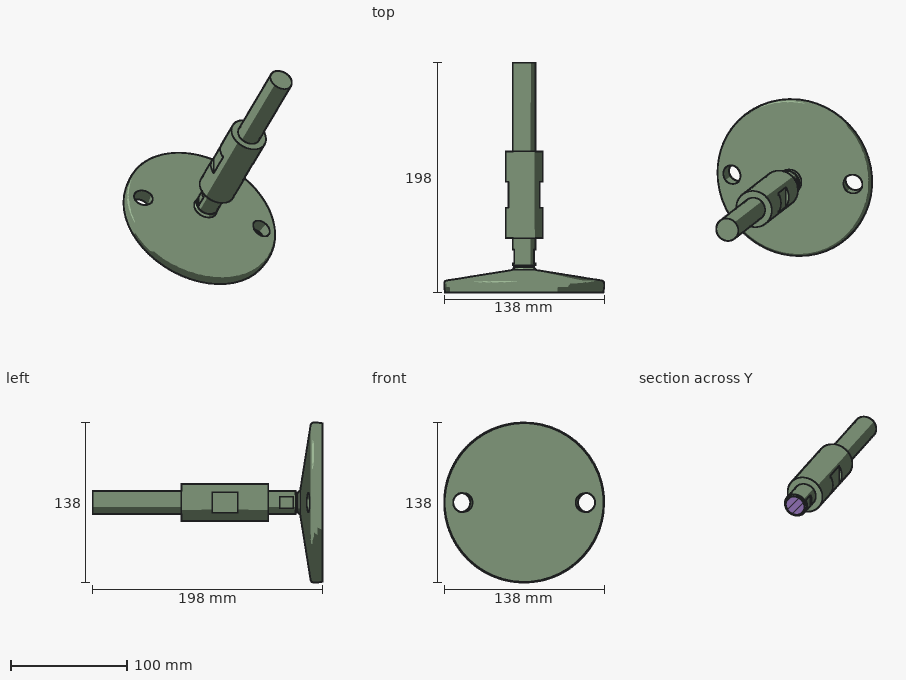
import cadquery as cq
import math


total_length = 198.0
foot_diameter = 138.0

foot_radius = foot_diameter / 2
floor_radius = 68.3
rim_taper_height = 4.5
rim_height = 10.0
rim_fillet = 3.0
cone_top_radius = 10.5
cone_top_y = 19.5
collar_radius = 9.0
collar_flare_y = 21.0
collar_groove_radius = 8.1
collar_groove_y = 21.5
collar_top_y = 22.2

hole_diameter = 16.5
hole_offset = 52.7
cone_slope = math.atan2(cone_top_y - rim_height, foot_radius - cone_top_radius)
hole_overrun = 9.9

spindle_diameter = 20.0
spindle_bottom_y = 23.4
neck_diameter = 13.5
spindle_flat_width = 17.2
spindle_flat_start = 25.1
spindle_flat_end = 36.8

sleeve_diameter = 32.0
sleeve_start = 46.7
sleeve_end = 121.5
sleeve_flat_width = 27.0
sleeve_flat_length = 22.2
sleeve_flat_start = (sleeve_start + sleeve_end - sleeve_flat_length) / 2
sleeve_flat_end = sleeve_flat_start + sleeve_flat_length


def rod(diameter, start, end):
    """Cylinder on the Y axis between two Y positions."""
    return cq.Workplane("XZ", origin=(0, start, 0)).circle(diameter / 2).extrude(start - end)


def cut_wrench_flats(body, diameter, flat_width, start, end):
    """Cut two opposite flats, facing -X and +X, into a round body."""
    for side in (-1, 1):
        cutter = (
            cq.Workplane("XY")
            .box(diameter, end - start, 2 * diameter)
            .translate((side * (flat_width + diameter) / 2, (start + end) / 2, 0))
        )
        body = body.cut(cutter)
    return body


def anchor_hole(side):
    """Cutter for one anchor hole, leaning outward to stand square to the cone."""
    axis = cq.Vector(side * math.sin(cone_slope), math.cos(cone_slope), 0)
    floor_center = cq.Vector(side * hole_offset, 0, 0)
    length = cone_top_y + 2 * hole_overrun
    return cq.Solid.makeCylinder(hole_diameter / 2, length, floor_center - axis * hole_overrun, axis)


def make_foot():
    profile = [
        (0, 0),
        (floor_radius, 0),
        (foot_radius, rim_taper_height),
        (foot_radius, rim_height),
        (cone_top_radius, cone_top_y),
        (collar_radius, collar_flare_y),
        (collar_groove_radius, collar_groove_y),
        (collar_radius, collar_top_y),
        (0, collar_top_y),
    ]
    foot = cq.Workplane("XY").polyline(profile).close().revolve(360, (0, 0, 0), (0, 1, 0))
    rim_corner = cq.selectors.BoxSelector(
        (-foot_diameter, rim_height - rim_fillet / 2, -foot_diameter),
        (foot_diameter, rim_height + rim_fillet / 2, foot_diameter),
    )
    foot = foot.edges("%CIRCLE").edges(rim_corner).fillet(rim_fillet)
    for side in (-1, 1):
        foot = foot.cut(cq.Workplane(anchor_hole(side)))
    return foot


def make_spindle():
    shank = rod(spindle_diameter, spindle_bottom_y, total_length)
    shank = cut_wrench_flats(
        shank, spindle_diameter, spindle_flat_width, spindle_flat_start, spindle_flat_end
    )
    neck = rod(neck_diameter, collar_top_y, spindle_bottom_y)
    return shank.union(neck)


def make_sleeve():
    sleeve = rod(sleeve_diameter, sleeve_start, sleeve_end)
    bore = rod(spindle_diameter, sleeve_start, sleeve_end)
    sleeve = sleeve.cut(bore)
    return cut_wrench_flats(
        sleeve, sleeve_diameter, sleeve_flat_width, sleeve_flat_start, sleeve_flat_end
    )


foot = make_foot()
spindle = make_spindle()
sleeve = make_sleeve()

result = cq.Compound.makeCompound([foot.val(), spindle.val(), sleeve.val()])